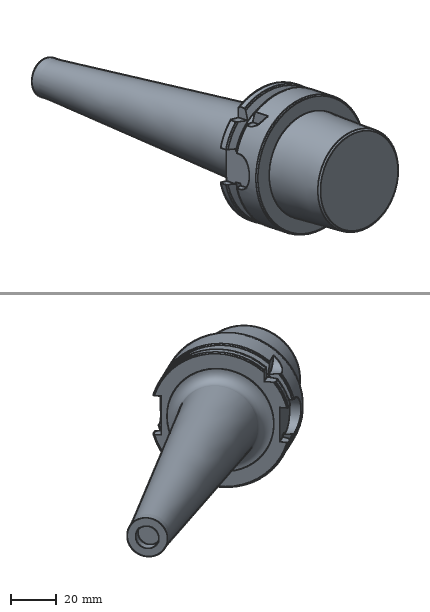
import cadquery as cq

total_length = 208.0
shank_length = 32.0
flange_width = 26.0
flange_back = total_length - shank_length
flange_front = flange_back - flange_width

tip_radius = 18.0 / 2
tip_length = 4.8
nose_root_radius = 36.0 / 2
root_fillet = 5.5
root_collar_length = 0.6
bore_diameter = 10.5
bore_depth = 5.0

flange_radius = 63.0 / 2
rim_chamfer = 0.6
face_recess_radius = 24.0
face_recess_depth = 0.2
groove_floor_radius = 27.5
groove_floor_start = 156.2
groove_floor_width = 3.1
groove_floor_end = groove_floor_start + groove_floor_width
groove_flare = 1.5
groove_lip_chamfer = 0.6
lip_radius = flange_radius - groove_lip_chamfer
lip_front = groove_floor_start - groove_flare
lip_back = groove_floor_end + groove_flare

shank_large_radius = 24.3
shank_small_radius = 23.3
shank_chamfer = 0.8

slot_depth = 5.0
slot_floor = flange_radius - slot_depth
slot_end = 171.0
front_slot_width = 16.0
back_slot_width = 18.0
slot_corner_radius = front_slot_width / 2

notch_offset = 19.5
notch_end = 169.5
notch_end_radius = 6.2


def revolved_body():
    """Solid of revolution about X; profile points are (x, radius)."""
    recess_floor = flange_front + face_recess_depth
    fillet_start = recess_floor - root_fillet
    collar_start = fillet_start - root_collar_length
    profile = (
        cq.Workplane("XY")
        .moveTo(0, 0)
        .lineTo(0, tip_radius)
        .lineTo(tip_length, tip_radius)
        .lineTo(collar_start, nose_root_radius)
        .lineTo(fillet_start, nose_root_radius)
        .radiusArc((recess_floor, nose_root_radius + root_fillet), -root_fillet)
        .lineTo(recess_floor, face_recess_radius)
        .lineTo(flange_front, face_recess_radius)
        .lineTo(flange_front, flange_radius - rim_chamfer)
        .lineTo(flange_front + rim_chamfer, flange_radius)
        .lineTo(lip_front - groove_lip_chamfer, flange_radius)
        .lineTo(lip_front, lip_radius)
        .lineTo(groove_floor_start, groove_floor_radius)
        .lineTo(groove_floor_end, groove_floor_radius)
        .lineTo(lip_back, lip_radius)
        .lineTo(lip_back + groove_lip_chamfer, flange_radius)
        .lineTo(flange_back - rim_chamfer, flange_radius)
        .lineTo(flange_back, flange_radius - rim_chamfer)
        .lineTo(flange_back, shank_large_radius)
        .lineTo(total_length - shank_chamfer, shank_small_radius)
        .lineTo(total_length, shank_small_radius - shank_chamfer)
        .lineTo(total_length, 0)
        .close()
    )
    return profile.revolve(360, (0, 0, 0), (1, 0, 0))


def tip_bore():
    """Shallow blind bore along X from the tip."""
    return cq.Workplane("YZ").circle(bore_diameter / 2).extrude(bore_depth)


def drive_slot(side, width):
    """Slot open to the flange front; side is -1 for -Y and +1 for +Y."""
    half_width = width / 2
    arc_start = slot_end - slot_corner_radius
    half_flat = half_width - slot_corner_radius
    outline = (
        cq.Workplane("XZ", origin=(0, side * slot_floor, 0))
        .moveTo(flange_front, -half_width)
        .lineTo(arc_start, -half_width)
        .radiusArc((slot_end, -half_flat), -slot_corner_radius)
    )
    if half_flat > 0:
        outline = outline.lineTo(slot_end, half_flat)
    outline = (
        outline.radiusArc((arc_start, half_width), -slot_corner_radius)
        .lineTo(flange_front, half_width)
        .close()
    )
    return outline.extrude(-side * slot_depth)


def corner_notch():
    """Square-cornered notch whose floor curves upward at its rear end."""
    size = flange_radius - notch_offset
    return (
        cq.Workplane("XY")
        .box(notch_end - flange_front, size, size, centered=False)
        .edges("|Y and >X and <Z")
        .fillet(notch_end_radius)
        .translate((flange_front, -flange_radius, notch_offset))
    )


result = (
    revolved_body()
    .cut(tip_bore())
    .cut(drive_slot(-1, front_slot_width))
    .cut(drive_slot(1, back_slot_width))
    .cut(corner_notch())
)